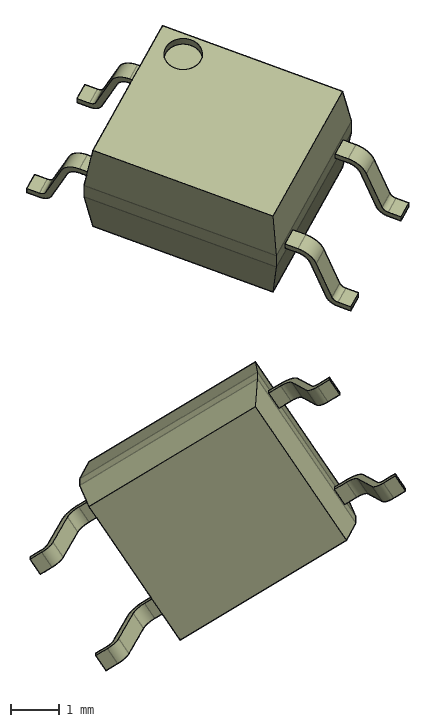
import cadquery as cq
import math

SPAN = 7.4
BODY_LENGTH = 4.395
BODY_WIDTH = 3.8
TOP_Z = 2.8
STANDOFF = 0.1

BAND_HEIGHT = 0.4
TAPER_INSET = 0.14
MID_Z = (TOP_Z + STANDOFF) / 2

LEAD_WIDTH = 0.4
LEAD_THICKNESS = 0.15
LEAD_PITCH = 2.54
SHOULDER_LENGTH = 0.295
SHOULDER_RADIUS = 0.37
FOOT_RADIUS = 0.22
LEG_ANGLE = 70.0

MARK_RADIUS = 0.4
MARK_DEPTH = 0.2
MARK_X = -1.36
MARK_Y = LEAD_PITCH / 2


def make_tapered_half(direction):
    """Half of the housing beyond the band: direction 1 is up, -1 is down."""
    start_z = MID_Z + direction * BAND_HEIGHT / 2
    height = (TOP_Z - STANDOFF - BAND_HEIGHT) / 2
    return (
        cq.Workplane("XY", origin=(0, 0, start_z))
        .rect(BODY_LENGTH, BODY_WIDTH)
        .workplane(offset=direction * height)
        .rect(BODY_LENGTH - 2 * TAPER_INSET, BODY_WIDTH - 2 * TAPER_INSET)
        .loft(ruled=True)
    )


def make_housing():
    band = cq.Workplane("XY", origin=(0, 0, MID_Z)).box(BODY_LENGTH, BODY_WIDTH, BAND_HEIGHT)
    mark = (
        cq.Workplane("XY", origin=(MARK_X, MARK_Y, TOP_Z))
        .circle(MARK_RADIUS)
        .extrude(-MARK_DEPTH)
    )
    return band.union(make_tapered_half(1)).union(make_tapered_half(-1)).cut(mark)


def arc_point(center, radius, degrees):
    angle = math.radians(degrees)
    return (center[0] + radius * math.cos(angle), center[1] + radius * math.sin(angle))


def make_lead(side, y_center):
    """One gull-wing lead: side 1 is at +X, -1 is at -X."""
    half = LEAD_THICKNESS / 2
    root_x = BODY_LENGTH / 2
    tip_x = SPAN / 2
    slope = math.radians(LEG_ANGLE)
    bend_radii = SHOULDER_RADIUS + FOOT_RADIUS

    leg_drop = MID_Z - half - bend_radii * (1 - math.cos(slope))
    bend_run = bend_radii * math.sin(slope) + leg_drop / math.tan(slope)

    shoulder_x = root_x + SHOULDER_LENGTH
    shoulder_center = (shoulder_x, MID_Z - SHOULDER_RADIUS)
    foot_center = (shoulder_x + bend_run, half + FOOT_RADIUS)

    shoulder_end = 90 - LEG_ANGLE
    foot_start = 270 - LEG_ANGLE
    shoulder_mid = (90 + shoulder_end) / 2
    foot_mid = (270 + foot_start) / 2
    shoulder_outer = SHOULDER_RADIUS + half
    shoulder_inner = SHOULDER_RADIUS - half
    foot_outer = FOOT_RADIUS + half
    foot_inner = FOOT_RADIUS - half

    lead = (
        cq.Workplane("XZ", origin=(0, y_center + LEAD_WIDTH / 2, 0))
        .moveTo(root_x, MID_Z + half)
        .lineTo(*arc_point(shoulder_center, shoulder_outer, 90))
        .threePointArc(
            arc_point(shoulder_center, shoulder_outer, shoulder_mid),
            arc_point(shoulder_center, shoulder_outer, shoulder_end),
        )
        .lineTo(*arc_point(foot_center, foot_inner, foot_start))
        .threePointArc(
            arc_point(foot_center, foot_inner, foot_mid),
            arc_point(foot_center, foot_inner, 270),
        )
        .lineTo(tip_x, LEAD_THICKNESS)
        .lineTo(tip_x, 0)
        .lineTo(*arc_point(foot_center, foot_outer, 270))
        .threePointArc(
            arc_point(foot_center, foot_outer, foot_mid),
            arc_point(foot_center, foot_outer, foot_start),
        )
        .lineTo(*arc_point(shoulder_center, shoulder_inner, shoulder_end))
        .threePointArc(
            arc_point(shoulder_center, shoulder_inner, shoulder_mid),
            arc_point(shoulder_center, shoulder_inner, 90),
        )
        .lineTo(root_x, MID_Z - half)
        .close()
        .extrude(LEAD_WIDTH)
    )
    return lead if side > 0 else lead.mirror("YZ")


housing = make_housing()
leads = [
    make_lead(side, row * LEAD_PITCH / 2)
    for side in (-1, 1)
    for row in (-1, 1)
]

result = cq.Compound.makeCompound([housing.val(), *[lead.val() for lead in leads]])